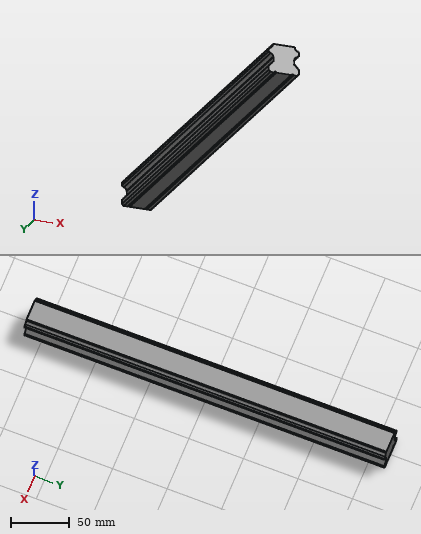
import cadquery as cq

length = 330.0
width = 28.0
height = 26.0
half_width = width / 2

foot_chamfer = 1.6
foot_top = 5.3

half_waist = 9.5
waist_bottom = 10.2
waist_top = 14.0

nose_bottom = 18.5
nose_top = 21.0
half_top = 9.2

raceway_radius = 3.0
raceway_width = 2.3
raceway_height = 3.0
lower_raceway_inner = 10.0
lower_raceway_bottom = 14.2
upper_raceway_inner = 10.2
upper_raceway_bottom = 22.5

groove_center = 8.0
groove_half_width = 1.0
groove_depth = 0.92


def half_profile():
    """Closed outline of the +X half of the cross-section, from the base upwards."""
    lower_raceway_outer = lower_raceway_inner + raceway_width
    lower_raceway_top = lower_raceway_bottom + raceway_height
    upper_raceway_outer = upper_raceway_inner + raceway_width
    upper_raceway_top = upper_raceway_bottom + raceway_height

    base = (
        cq.Workplane("XZ", origin=(0, length / 2, 0))
        .moveTo(0, 0)
        .lineTo(groove_center - groove_half_width, 0)
        .lineTo(groove_center, groove_depth)
        .lineTo(groove_center + groove_half_width, 0)
        .lineTo(half_width - foot_chamfer, 0)
        .lineTo(half_width, foot_chamfer)
        .lineTo(half_width, foot_top)
    )
    waist = base.lineTo(half_waist, waist_bottom).lineTo(half_waist, waist_top)
    head = (
        waist.lineTo(lower_raceway_inner, lower_raceway_bottom)
        .radiusArc((lower_raceway_outer, lower_raceway_top), raceway_radius)
        .lineTo(half_width, nose_bottom)
        .lineTo(half_width, nose_top)
        .lineTo(upper_raceway_outer, upper_raceway_bottom)
        .radiusArc((upper_raceway_inner, upper_raceway_top), raceway_radius)
        .lineTo(half_top, height)
        .lineTo(0, height)
    )
    return head.close()


half_rail = half_profile().extrude(length)
result = half_rail.union(half_rail.mirror("YZ"))